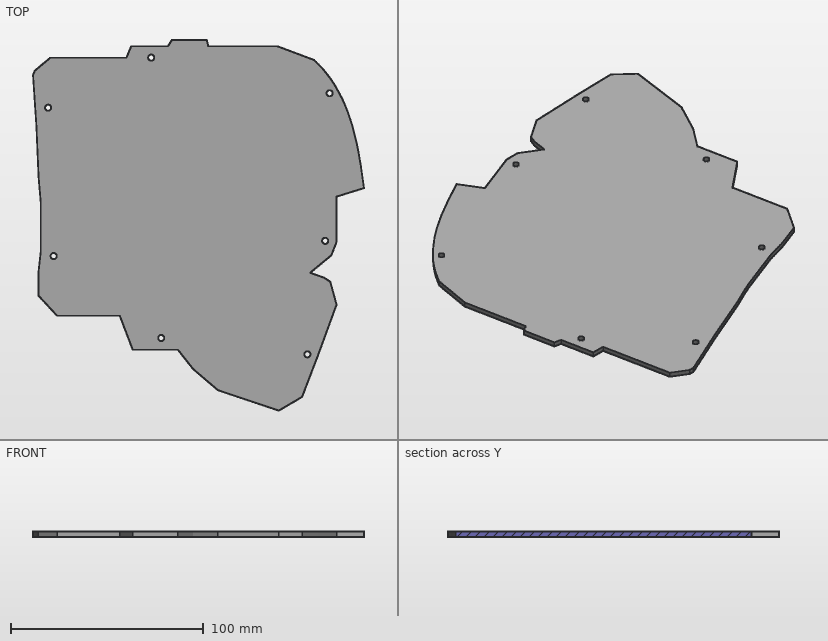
import cadquery as cq

WIDTH = 171.8
LENGTH = 192.5
THICKNESS = 3.0
HOLE_DIAMETER = 3.0

TOP_LEFT_Y = 183.2
SHOULDER_Y = 189.2
LOWER_LEFT_Y = 49.3
STEP_Y = 31.5
RIGHT_EDGE_X = 157.6
WAIST_X = 4.0
LOWER_LEFT_X = 2.9

top_edge = [
    (1.0, 176.5),
    (9.0, TOP_LEFT_Y),
    (48.5, TOP_LEFT_Y),
    (51.0, SHOULDER_Y),
    (70.0, SHOULDER_Y),
    (72.2, LENGTH),
    (90.2, LENGTH),
    (91.0, SHOULDER_Y),
    (126.8, SHOULDER_Y),
    (145.9, 182.0),
]
right_curve = [(155.3, 171.0), (161.8, 159.0), (169.0, 134.3), (WIDTH, 115.5)]
right_edge = [
    (RIGHT_EDGE_X, 111.0),
    (RIGHT_EDGE_X, 87.5),
    (155.0, 80.6),
    (144.0, 71.5),
    (151.0, 69.0),
    (154.3, 67.0),
    (RIGHT_EDGE_X, 55.0),
    (148.2, 29.2),
    (139.7, 7.1),
    (127.5, 0),
]
bottom_edge = [
    (96.0, 10.5),
    (83.1, 21.5),
    (75.2, STEP_Y),
    (51.8, STEP_Y),
    (45.0, LOWER_LEFT_Y),
    (12.5, LOWER_LEFT_Y),
    (LOWER_LEFT_X, 59.7),
]
left_edge = [
    (LOWER_LEFT_X, 72.4),
    (WAIST_X, 82.7),
    (WAIST_X, 107.8),
    (2.9, 121.2),
    (1.7, 148.2),
    (0, 174.1),
]

hole_centers = [
    (7.9, 157.2),
    (61.4, 183.2),
    (154.0, 164.7),
    (151.6, 88.1),
    (142.4, 29.2),
    (66.5, 37.7),
    (10.8, 80.2),
]


def make_plate():
    """Flat plate with a smooth upper right flank and faceted remaining edges."""
    outline = cq.Workplane("XY").polyline(top_edge)
    outline = outline.spline(right_curve, includeCurrent=True)
    for corner in right_edge + bottom_edge + left_edge:
        outline = outline.lineTo(*corner)
    return outline.close().extrude(THICKNESS)


def make_hole_cutters():
    """Pins that pass through the full plate thickness."""
    pins = cq.Workplane("XY").pushPoints(hole_centers)
    return pins.circle(HOLE_DIAMETER / 2).extrude(THICKNESS)


result = make_plate().cut(make_hole_cutters())